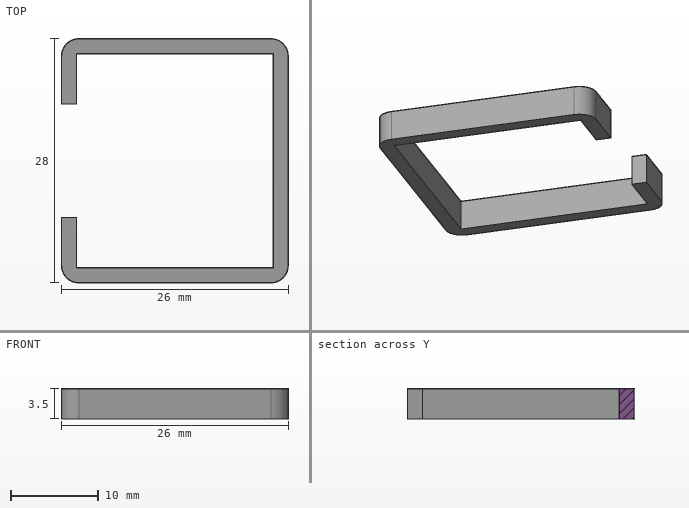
import cadquery as cq

length_x = 26.0
width_y = 28.0
height_z = 3.5

wall = 1.75
corner_radius = 2.0
gap_width = 13.0


def make_frame():
    """Rectangular ring with rounded outer corners and sharp inner corners."""
    outer = cq.Workplane("XY").rect(length_x, width_y).extrude(height_z)
    outer = outer.edges("|Z").fillet(corner_radius)
    window = (
        cq.Workplane("XY")
        .rect(length_x - 2 * wall, width_y - 2 * wall)
        .extrude(height_z)
    )
    return outer.cut(window)


def make_gap():
    """Block that opens the -X wall, leaving two equal hooked ends."""
    wall_center_x = -(length_x - wall) / 2
    return (
        cq.Workplane("XY")
        .center(wall_center_x, 0)
        .rect(wall, gap_width)
        .extrude(height_z)
    )


result = make_frame().cut(make_gap())